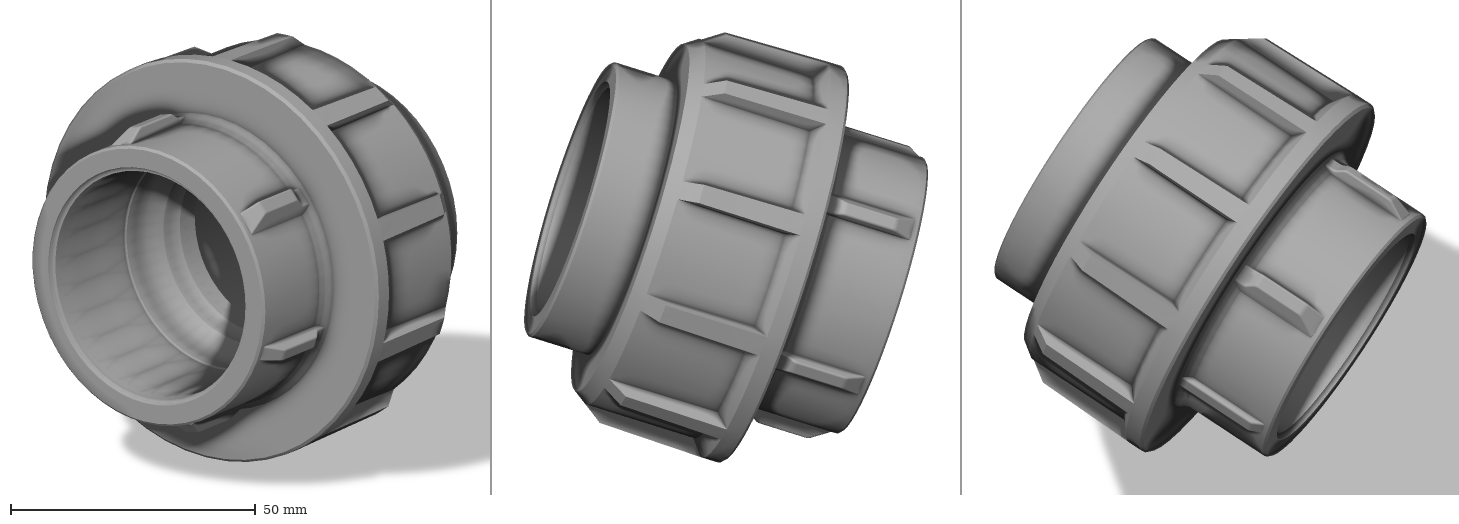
import cadquery as cq
import math


TOTAL_LENGTH = 67.5
NUT_FRONT = 21.5
NUT_BACK = 54.45
COLLAR_FRONT = 24.9
JOINT_Y = 33.7
SOCKET_DEPTH = 24.4

CLAMP_RADIUS = 34.0
LIP_RADIUS = 31.3
BORE_RADIUS = 19.65
SOCKET_MOUTH_RADIUS = 24.2
SOCKET_END_RADIUS = 23.9
MOUTH_ROUND = 1.0
RIM_CHAMFER = 0.5

NUT_RADIUS = 42.5
NUT_CHAMFER = 0.6
FLANGE_BACK = 25.6
POCKET_RADIUS = 39.2
POCKET_START = 28.25
NUT_BACK_RADIUS = 37.3
GRIP_COUNT = 10
GRIP_SHOULDER_Y = 47.5
GRIP_SHOULDER_RADIUS = 42.0
GRIP_FRONT_WIDTH = 4.6
GRIP_BACK_WIDTH = 3.8
POCKET_OVERCUT = 0.85

TUBE_RADIUS = 29.6
NECK_START = 19.1
NECK_MIDDLE = 20.2
NECK_RADIUS = 30.1

SEAT_RADIUS = 23.6
SEAT_STEP = 0.3
CONE_START = 30.1
CONE_START_RADIUS = 22.8
THROAT_RADIUS = 20.8
CONE_ANGLE = math.atan2(CONE_START_RADIUS - THROAT_RADIUS, JOINT_Y - CONE_START)

RIB_TOP_RADIUS = 32.3
RIB_ROOT_RADIUS = 28.9
LEANING_HALF_TOP = 1.45
LEANING_STEEP_ROOT = 1.1
LEANING_WIDE_ROOT = 4.4
STRAIGHT_HALF_TOP = 1.4
STRAIGHT_HALF_ROOT = 1.9
RIB_PAD_RADIUS = 30.8
RIB_EDGE_RADIUS = 0.4
RIB_CORNER_RADIUS = 1.7
RIB_FOOT_Y = 1.5
RIB_TOP_START = 5.5
RIB_TOP_END = 16.6
RIB_PAD_START = 18.7
MOULD_AXIS_ANGLE = 71.0
RIB_SPREAD = 32.0
LOW_RIB_RADIUS = 31.0
LOW_RIB_TOP_START = 3.9

SPIGOT_RADIUS = 29.4


def revolve(points):
    """Turn an outline of (radius, y) points about the Y axis."""
    return cq.Workplane("XY").polyline(points).close().revolve(360, (0, 0, 0), (0, 1, 0))


def prism(section, start, end):
    """Extrude an (x, z) outline along Y from start to end."""
    return cq.Workplane("XZ", origin=(0, start, 0)).polyline(section).close().extrude(start - end)


def turn(body, angle):
    """Turn a body about Y, from +X towards +Z."""
    return body.rotate((0, 0, 0), (0, 1, 0), -angle)


def make_nut():
    nut = revolve([
        (LIP_RADIUS, NUT_FRONT),
        (NUT_RADIUS - NUT_CHAMFER, NUT_FRONT),
        (NUT_RADIUS, NUT_FRONT + NUT_CHAMFER),
        (NUT_RADIUS, FLANGE_BACK),
        (GRIP_SHOULDER_RADIUS, GRIP_SHOULDER_Y),
        (NUT_BACK_RADIUS, NUT_BACK),
        (CLAMP_RADIUS, NUT_BACK),
        (CLAMP_RADIUS, COLLAR_FRONT),
        (LIP_RADIUS, COLLAR_FRONT),
    ])
    return nut.cut(make_grip_pockets())


def make_grip_pockets():
    """A ring around the nut, sloped at its front, split into pockets by the grip bars."""
    front_slope = (POCKET_START - FLANGE_BACK) / (NUT_RADIUS - POCKET_RADIUS)
    outside = NUT_RADIUS + POCKET_OVERCUT
    front = FLANGE_BACK - POCKET_OVERCUT * front_slope
    pockets = revolve([
        (POCKET_RADIUS, POCKET_START),
        (outside, front),
        (outside, NUT_BACK),
        (POCKET_RADIUS, NUT_BACK),
    ])
    bar = (
        cq.Workplane("YZ")
        .polyline([
            (NUT_FRONT, -GRIP_FRONT_WIDTH / 2),
            (NUT_BACK, -GRIP_BACK_WIDTH / 2),
            (NUT_BACK, GRIP_BACK_WIDTH / 2),
            (NUT_FRONT, GRIP_FRONT_WIDTH / 2),
        ])
        .close()
        .extrude(outside + POCKET_OVERCUT)
    )
    for i in range(GRIP_COUNT):
        pockets = pockets.cut(turn(bar, 90 + i * 360 / GRIP_COUNT))
    return pockets


def make_rib(section, top_outline):
    """A rib on the +X side: a cross-section trimmed along its length by a stepped top."""
    side = [(RIB_ROOT_RADIUS, RIB_FOOT_Y), *top_outline, (RIB_ROOT_RADIUS, NUT_FRONT)]
    reach = RIB_ROOT_RADIUS / 2
    profile = cq.Workplane("XY").polyline(side).close().extrude(reach, both=True)
    corners = cq.selectors.BoxSelector(
        (TUBE_RADIUS + RIM_CHAMFER, RIB_FOOT_Y + RIM_CHAMFER, -reach),
        (RIB_TOP_RADIUS + RIM_CHAMFER, NUT_FRONT - RIM_CHAMFER, reach),
    )
    profile = profile.edges("|Z").edges(corners).fillet(RIB_CORNER_RADIUS)
    rib = prism(section, RIB_FOOT_Y, NUT_FRONT).intersect(profile)
    return rib.faces(">X").edges("|Y").fillet(RIB_EDGE_RADIUS)


def curve_length(radial_step):
    """Axial length of an arc that goes from straight along Y to the cone angle."""
    return radial_step / math.tan(CONE_ANGLE / 2)


def make_socket_end():
    curve_start = CONE_START - curve_length(SEAT_RADIUS - CONE_START_RADIUS)
    outline = (
        cq.Workplane("XY")
        .moveTo(SOCKET_MOUTH_RADIUS + MOUTH_ROUND, 0)
        .lineTo(TUBE_RADIUS - RIM_CHAMFER, 0)
        .lineTo(TUBE_RADIUS, RIM_CHAMFER)
        .lineTo(TUBE_RADIUS, NECK_START)
        .lineTo(NECK_RADIUS, NECK_MIDDLE)
        .lineTo(LIP_RADIUS, NUT_FRONT)
        .lineTo(LIP_RADIUS, COLLAR_FRONT)
        .lineTo(CLAMP_RADIUS, COLLAR_FRONT)
        .lineTo(CLAMP_RADIUS, JOINT_Y)
        .lineTo(THROAT_RADIUS, JOINT_Y)
        .lineTo(CONE_START_RADIUS, CONE_START)
        .tangentArcPoint((SEAT_RADIUS, curve_start), relative=False)
        .lineTo(SEAT_RADIUS, SOCKET_DEPTH + SEAT_STEP)
        .lineTo(SOCKET_END_RADIUS, SOCKET_DEPTH)
        .lineTo(SOCKET_MOUTH_RADIUS, MOUTH_ROUND)
        .radiusArc((SOCKET_MOUTH_RADIUS + MOUTH_ROUND, 0), MOUTH_ROUND)
        .close()
    )
    body = outline.revolve(360, (0, 0, 0), (0, 1, 0))
    return add_ribs(body)


def add_ribs(body):
    """Two mirrored pairs of leaning ribs, and two straight ribs on the mould's parting line."""
    leaning = [
        (RIB_ROOT_RADIUS, -LEANING_STEEP_ROOT),
        (RIB_TOP_RADIUS, -LEANING_HALF_TOP),
        (RIB_TOP_RADIUS, LEANING_HALF_TOP),
        (RIB_ROOT_RADIUS, LEANING_WIDE_ROOT),
    ]
    mirrored = [(radius, -offset) for radius, offset in leaning]
    straight = [
        (RIB_ROOT_RADIUS, -STRAIGHT_HALF_ROOT),
        (RIB_TOP_RADIUS, -STRAIGHT_HALF_TOP),
        (RIB_TOP_RADIUS, STRAIGHT_HALF_TOP),
        (RIB_ROOT_RADIUS, STRAIGHT_HALF_ROOT),
    ]
    tall_top = [
        (TUBE_RADIUS, RIB_FOOT_Y),
        (RIB_TOP_RADIUS, RIB_TOP_START),
        (RIB_TOP_RADIUS, RIB_TOP_END),
        (RIB_PAD_RADIUS, RIB_PAD_START),
        (RIB_PAD_RADIUS, NUT_FRONT),
    ]
    low_top = [
        (TUBE_RADIUS, RIB_FOOT_Y),
        (LOW_RIB_RADIUS, LOW_RIB_TOP_START),
        (LOW_RIB_RADIUS, NUT_FRONT),
    ]
    leaning_rib = make_rib(leaning, tall_top)
    mirrored_rib = make_rib(mirrored, tall_top)
    for axis in (MOULD_AXIS_ANGLE, MOULD_AXIS_ANGLE + 180):
        body = body.union(turn(leaning_rib, axis + RIB_SPREAD))
        body = body.union(turn(mirrored_rib, axis - RIB_SPREAD))
    body = body.union(turn(make_rib(straight, tall_top), MOULD_AXIS_ANGLE - 90))
    return body.union(turn(make_rib(straight, low_top), MOULD_AXIS_ANGLE + 90))


def make_threaded_end():
    curve_end = JOINT_Y + curve_length(THROAT_RADIUS - BORE_RADIUS)
    socket_bottom = TOTAL_LENGTH - SOCKET_DEPTH
    outline = (
        cq.Workplane("XY")
        .moveTo(THROAT_RADIUS, JOINT_Y)
        .lineTo(CLAMP_RADIUS, JOINT_Y)
        .lineTo(CLAMP_RADIUS, NUT_BACK)
        .lineTo(SPIGOT_RADIUS, NUT_BACK)
        .lineTo(SPIGOT_RADIUS, TOTAL_LENGTH - RIM_CHAMFER)
        .lineTo(SPIGOT_RADIUS - RIM_CHAMFER, TOTAL_LENGTH)
        .lineTo(SOCKET_MOUTH_RADIUS + MOUTH_ROUND, TOTAL_LENGTH)
        .radiusArc((SOCKET_MOUTH_RADIUS, TOTAL_LENGTH - MOUTH_ROUND), MOUTH_ROUND)
        .lineTo(SOCKET_END_RADIUS, socket_bottom)
        .lineTo(BORE_RADIUS, socket_bottom)
        .lineTo(BORE_RADIUS, curve_end)
        .radiusArc((THROAT_RADIUS, JOINT_Y), (THROAT_RADIUS - BORE_RADIUS) / (1 - math.cos(CONE_ANGLE)))
        .close()
    )
    return outline.revolve(360, (0, 0, 0), (0, 1, 0))


nut = make_nut()
socket_end = make_socket_end()
threaded_end = make_threaded_end()

result = cq.Compound.makeCompound([nut.val(), socket_end.val(), threaded_end.val()])